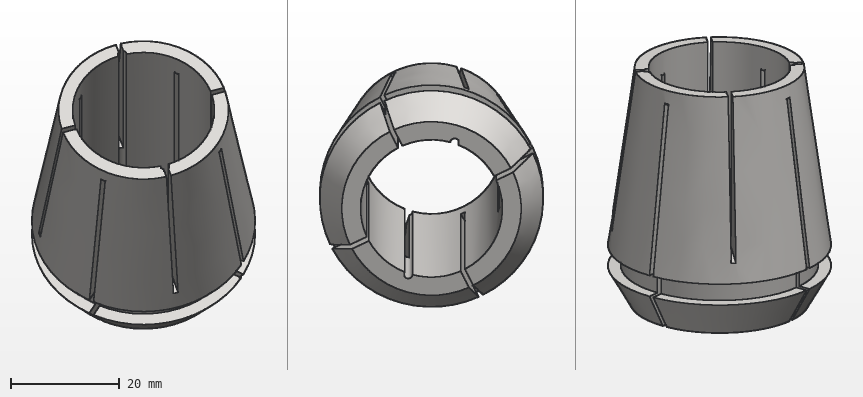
import cadquery as cq
import math

height = 46.0
outer_radius = 20.5
top_radius = 15.6
bottom_radius = 16.45
bore_radius = 13.0

groove_radius = 18.12
groove_bottom = 7.05
groove_top = 11.15

slot_width = 0.87
bottom_slot_outer_end = 43.55
bottom_slot_inner_end = 41.45
top_slot_outer_end = 15.0
top_slot_inner_end = 15.55
slot_angles = range(0, 360, 90)
top_slot_offset = 45

relief_radius = 0.8
relief_center_radius = 13.2
relief_angles = (135, 315)

clearance = 4.6


def taper_radius(z):
    """Outer radius of the long taper at height z."""
    fraction = (z - groove_top) / (height - groove_top)
    return outer_radius + fraction * (top_radius - outer_radius)


def radial_slot(inner_end, outer_end, open_z, angle):
    """Slot with a sloped end, from inside the bore to beyond the outer wall."""
    wall_radius = taper_radius(outer_end)
    slope = (outer_end - inner_end) / (wall_radius - bore_radius)
    near = bore_radius - clearance
    far = outer_radius + clearance
    near_z = inner_end + slope * (near - bore_radius)
    far_z = inner_end + slope * (far - bore_radius)
    return (
        cq.Workplane("XZ")
        .polyline([(near, open_z), (far, open_z), (far, far_z), (near, near_z)])
        .close()
        .extrude(slot_width / 2, both=True)
        .rotate((0, 0, 0), (0, 0, 1), angle)
    )


result = (
    cq.Workplane("XZ")
    .moveTo(bore_radius, 0)
    .lineTo(bottom_radius, 0)
    .lineTo(outer_radius, groove_bottom)
    .lineTo(groove_radius, groove_bottom)
    .lineTo(groove_radius, groove_top)
    .lineTo(outer_radius, groove_top)
    .lineTo(top_radius, height)
    .lineTo(bore_radius, height)
    .close()
    .revolve(360, (0, 0, 0), (0, 1, 0))
)

for slot_angle in slot_angles:
    bottom_slot = radial_slot(
        bottom_slot_inner_end, bottom_slot_outer_end, -clearance, slot_angle
    )
    top_slot = radial_slot(
        top_slot_inner_end, top_slot_outer_end, height + clearance, slot_angle + top_slot_offset
    )
    result = result.cut(bottom_slot).cut(top_slot)

for relief_angle in relief_angles:
    direction = math.radians(relief_angle)
    relief = (
        cq.Workplane("XY")
        .center(relief_center_radius * math.cos(direction), relief_center_radius * math.sin(direction))
        .circle(relief_radius)
        .extrude(height)
    )
    result = result.cut(relief)